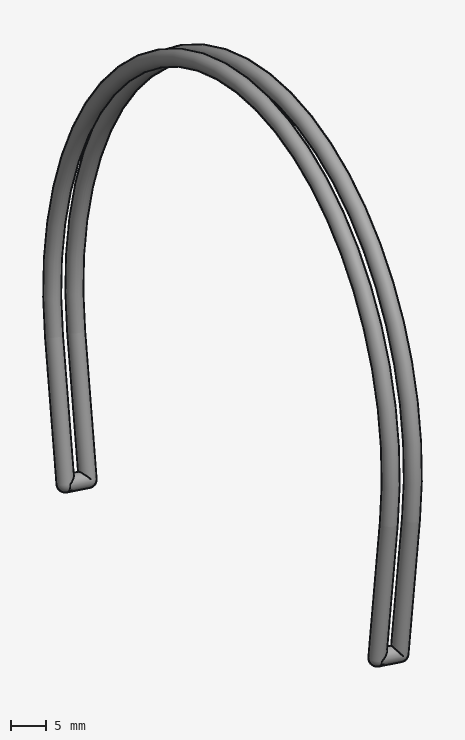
import cadquery as cq
import math

overall_width = 95.2
overall_height = 76.7
overall_depth = 6.2
wire_diameter = 2.6
arc_drop = 6.85

wire_radius = wire_diameter / 2
bow_radius = overall_width / 2 - wire_radius
wire_offset = overall_depth / 2 - wire_radius
leg_end_z = overall_width / 2 - overall_height + wire_radius
joint_x = math.sqrt(bow_radius**2 - arc_drop**2)
leg_end_x = joint_x - (-leg_end_z - arc_drop) * arc_drop / joint_x


def make_bow(y):
    """Arched wire with two straight legs and rounded leg ends, in the plane at the given y."""
    path = (
        cq.Workplane("XZ", origin=(0, y, 0))
        .moveTo(-leg_end_x, leg_end_z)
        .lineTo(-joint_x, -arc_drop)
        .threePointArc((0, bow_radius), (joint_x, -arc_drop))
        .lineTo(leg_end_x, leg_end_z)
    )
    leg_direction = (-arc_drop, 0, joint_x)
    end_plane = cq.Plane(origin=(-leg_end_x, y, leg_end_z), xDir=(0, 1, 0), normal=leg_direction)
    bow = cq.Workplane(end_plane).circle(wire_radius).sweep(path)
    for side in (-1, 1):
        tip = cq.Workplane("XY", origin=(side * leg_end_x, y, leg_end_z)).sphere(wire_radius)
        bow = bow.union(tip)
    return bow


def make_crossbar(side):
    """Straight wire along Y joining the two leg ends on one side."""
    return (
        cq.Workplane("XZ", origin=(side * leg_end_x, wire_offset, leg_end_z))
        .circle(wire_radius)
        .extrude(2 * wire_offset)
    )


front_bow = make_bow(-wire_offset)

rear_bow = make_bow(wire_offset)
for side in (-1, 1):
    rear_bow = rear_bow.union(make_crossbar(side))
rear_bow = rear_bow.cut(front_bow)

result = cq.Compound.makeCompound([front_bow.val(), rear_bow.val()])